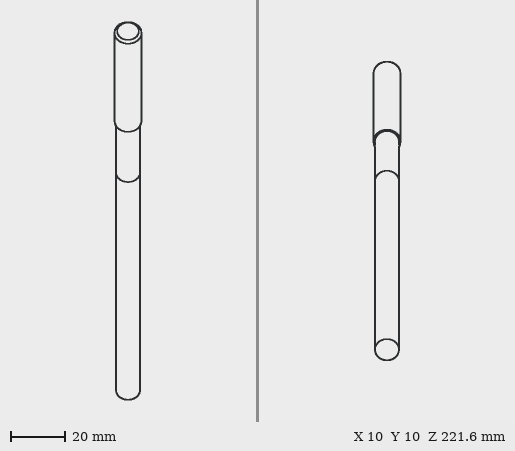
import cadquery as cq
import math


shank_diameter = 10.0
cutting_diameter = 8.9
point_angle = 140.0
shoulder_length = 220.0
shank_length = 55.0
holder_length = 86.5
chamfer_size = 1.0

shank_radius = shank_diameter / 2
cutting_radius = cutting_diameter / 2
end_face_radius = shank_radius - chamfer_size
point_height = cutting_radius / math.tan(math.radians(point_angle / 2))

top_z = point_height + shoulder_length
chamfer_z = top_z - chamfer_size
shank_bottom_z = top_z - shank_length
joint_z = top_z - holder_length


def turned(profile):
    """Revolve (radius, height) points about Z, starting from the -Y side."""
    points = [(-radius, height) for radius, height in profile]
    return cq.Workplane("YZ").polyline(points).close().revolve(360, (0, 0), (0, 1))


def make_cutting_part():
    """Cylindrical cutting length ending in the conical point."""
    return turned([
        (0, 0),
        (cutting_radius, point_height),
        (cutting_radius, joint_z),
        (0, joint_z),
    ])


def make_holder():
    """Neck at the cutting diameter, stepping out to the chamfered shank."""
    return turned([
        (0, joint_z),
        (cutting_radius, joint_z),
        (cutting_radius, shank_bottom_z),
        (shank_radius, shank_bottom_z),
        (shank_radius, chamfer_z),
        (end_face_radius, top_z),
        (0, top_z),
    ])


cutting_part = make_cutting_part()
holder = make_holder()

result = cq.Compound.makeCompound([cutting_part.val(), holder.val()])